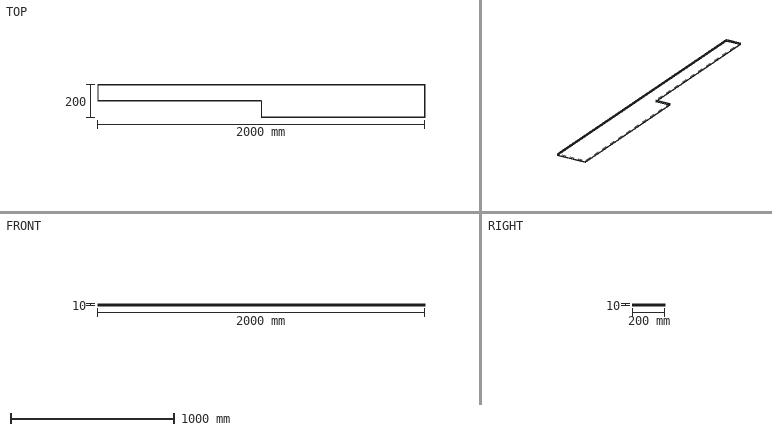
import cadquery as cq

length = 2000.0
width = 200.0
thickness = 10.0

notch_length = length / 2
notch_depth = width / 2

plate = cq.Workplane("XY").box(length, width, thickness, centered=False)
notch = cq.Workplane("XY").box(notch_length, notch_depth, thickness, centered=False)

result = plate.cut(notch)